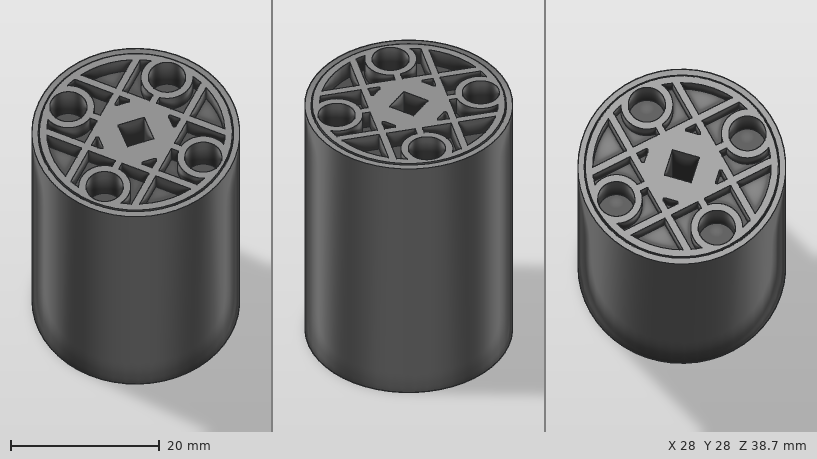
import cadquery as cq
import math

length = 38.7
diameter = 28.0
module = diameter / 28
pattern_count = 4

hub_radius = 13 * module
rim_setback = 0.15
groove_width = 0.15
groove_depth = 0.4

pocket_radius = 12 * module
pocket_depth = 2.5
rib_offset = 5 * module
rib_inner_face = rib_offset - module / 2

socket_offset = 10 * module
socket_radius = 2.5 * module
socket_wall_radius = socket_radius + module
socket_depth = 5.05

bore_side = 3.8
core_half_side = 5 * module
bore_angle = 45
window_corner_radius = 0.25


def cylinder(radius, height):
    return cq.Workplane("XY").circle(radius).extrude(height)


def turned(shape, angle):
    return shape.rotate((0, 0, 0), (0, 0, 1), angle)


def around_axis(shape):
    """Join the evenly spaced copies of a shape about the Z axis."""
    copies = shape
    for index in range(1, pattern_count):
        copies = copies.union(turned(shape, index * 360 / pattern_count))
    return copies


def make_rim_cut():
    """Material removed at the lower end to set the rim back and part it from the hub."""
    setback = cylinder(diameter / 2, rim_setback)
    groove = cylinder(hub_radius + groove_width, rim_setback + groove_depth)
    return setback.union(groove).cut(cylinder(hub_radius, length))


def make_core_window():
    """Small triangular recess between a rib crossing and the turned hub core."""
    tip = core_half_side * math.sqrt(2) - rib_inner_face
    window = (
        cq.Workplane("XY")
        .moveTo(rib_inner_face, rib_inner_face)
        .lineTo(tip, rib_inner_face)
        .lineTo(rib_inner_face, tip)
        .close()
        .extrude(pocket_depth)
    )
    return window.edges("|Z and (<X or <Y)").fillet(window_corner_radius)


def make_ribs():
    """Everything left standing between the pockets."""
    cross_rib = cq.Workplane("XY").center(rib_offset, 0).rect(module, diameter).extrude(pocket_depth)
    spoke = cq.Workplane("XY").center(socket_offset / 2, 0).rect(socket_offset, module).extrude(pocket_depth)
    socket_wall = cylinder(socket_wall_radius, pocket_depth).translate((socket_offset, 0, 0))
    core = cq.Workplane("XY").rect(2 * rib_offset, 2 * rib_offset).extrude(pocket_depth)
    core = core.cut(around_axis(make_core_window()))
    arms = around_axis(cross_rib.union(spoke).union(socket_wall))
    return arms.union(core)


def make_pockets():
    pockets = cylinder(pocket_radius, pocket_depth).cut(make_ribs())
    return pockets.translate((0, 0, length - pocket_depth))


def make_sockets():
    socket = cylinder(socket_radius, socket_depth)
    return around_axis(socket.translate((socket_offset, 0, length - socket_depth)))


def make_bore():
    return turned(cq.Workplane("XY").rect(bore_side, bore_side).extrude(length), bore_angle)


lower_rim_cut = make_rim_cut()
upper_rim_cut = lower_rim_cut.mirror("XY").translate((0, 0, length))

result = (
    cylinder(diameter / 2, length)
    .cut(lower_rim_cut)
    .cut(upper_rim_cut)
    .cut(make_pockets())
    .cut(make_sockets())
    .cut(make_bore())
)